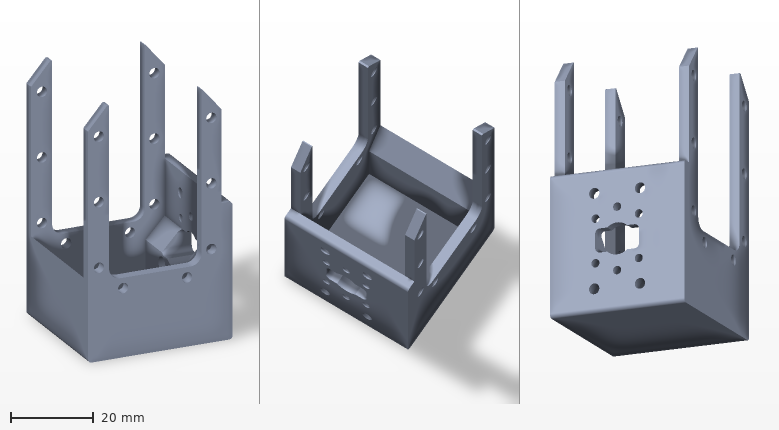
import cadquery as cq

width = 35.5
depth = 38.4
height = 65.8
front_y = -depth / 2
rear_y = depth / 2

side_wall = 2.7
rear_wall = 2.9
floor = 2.0
edge_radius = 1.0
inner_width = width - 2 * side_wall
rear_wall_inner_y = rear_y - rear_wall
shoulder_z = 35.65

slope_run = 5.05
slope_rise = 5.85
block_top_z = 21.25
rear_slope_top_z = 20.85
block_shoulder_z = block_top_z - slope_rise
rear_block_y = rear_wall_inner_y - slope_run
front_block_y = front_y + slope_run

window_front_y = -13.6
window_rear_y = 11.0
window_bottom_z = 20.6
window_radius = 2.95

side_hole_diameter = 2.7
side_hole_pitch = 17.0
front_hole_y = -16.3
rear_hole_y = 13.55
arm_hole_z = 24.2
lower_hole_y = (-9.9, -9.9 + side_hole_pitch)
lower_hole_z = 17.9

horn_z = 17.9
hub_diameter = 8.0
horn_length = 11.65
horn_height = 6.05
horn_corner_radius = 1.3
small_screw = 2.1
small_head = 4.0
large_screw = 2.7
large_head = 5.0
screws = (
    (0, 7.95, small_screw, small_head),
    (-5.7, 5.6, small_screw, small_head),
    (5.7, 5.6, small_screw, small_head),
    (-6.05, 12.0, large_screw, large_head),
    (6.05, 12.0, large_screw, large_head),
)


def extrude_across(profile, length):
    """Extrude a closed YZ profile symmetrically about the YZ plane."""
    return profile.extrude(length / 2, both=True)


def cylinder_along_y(x, z, diameter, start_y, end_y):
    return (
        cq.Workplane("XZ", origin=(x, start_y, z))
        .circle(diameter / 2)
        .extrude(start_y - end_y)
    )


def make_shell():
    """Side outline, hollowed between the side plates down to the floor and blocks."""
    outline = cq.Workplane("YZ").polyline([
        (front_y, 0),
        (rear_y, 0),
        (rear_y, shoulder_z),
        (rear_wall_inner_y, shoulder_z),
        (rear_wall_inner_y, height - slope_rise),
        (rear_wall_inner_y - slope_run, height),
        (front_y + slope_run, height),
        (front_y, height - slope_rise),
    ]).close()
    body = extrude_across(outline, width)
    body = body.edges("|X and <Z").fillet(edge_radius)
    rear_edge = cq.selectors.BoxSelector(
        (-width, rear_y - 0.05, shoulder_z - 0.05),
        (width, rear_y + 0.05, shoulder_z + 0.05),
    )
    body = body.edges(rear_edge).fillet(edge_radius)

    cavity = cq.Workplane("YZ").polyline([
        (front_block_y, floor),
        (rear_block_y, floor),
        (rear_block_y, block_shoulder_z),
        (rear_wall_inner_y, rear_slope_top_z),
        (rear_wall_inner_y, height),
        (front_y, height),
        (front_y, block_top_z),
        (front_block_y, block_shoulder_z),
    ]).close()
    return body.cut(extrude_across(cavity, inner_width))


def make_window():
    window_depth = window_rear_y - window_front_y
    window = cq.Workplane("XY").box(
        width, window_depth, height - window_bottom_z, centered=(True, False, False)
    )
    window = window.edges("|X and <Z").fillet(window_radius)
    return window.translate((0, window_front_y, window_bottom_z))


def make_side_holes():
    centres = [(y, lower_hole_z) for y in lower_hole_y]
    for y in (front_hole_y, rear_hole_y):
        for row in range(3):
            centres.append((y, arm_hole_z + row * side_hole_pitch))
    holes = cq.Workplane("YZ").pushPoints(centres).circle(side_hole_diameter / 2)
    return extrude_across(holes, width)


def make_horn_socket():
    length_y = rear_y - rear_block_y
    bar = (
        cq.Workplane("XY")
        .box(horn_length, length_y, horn_height)
        .edges("|Y")
        .fillet(horn_corner_radius)
        .translate((0, (rear_y + rear_block_y) / 2, horn_z))
    )
    return bar.union(cylinder_along_y(0, horn_z, hub_diameter, rear_block_y, rear_y))


def cut_screw_holes(body):
    """Plain holes above the horn; the mirrored ones have head bores through the block."""
    for x, offset, screw, head in screws:
        for z in (horn_z - offset, horn_z + offset):
            body = body.cut(cylinder_along_y(x, z, screw, rear_block_y, rear_y))
        body = body.cut(
            cylinder_along_y(x, horn_z - offset, head, rear_block_y, rear_wall_inner_y)
        )
    return body


result = make_shell().cut(make_window()).cut(make_side_holes()).cut(make_horn_socket())
result = cut_screw_holes(result)